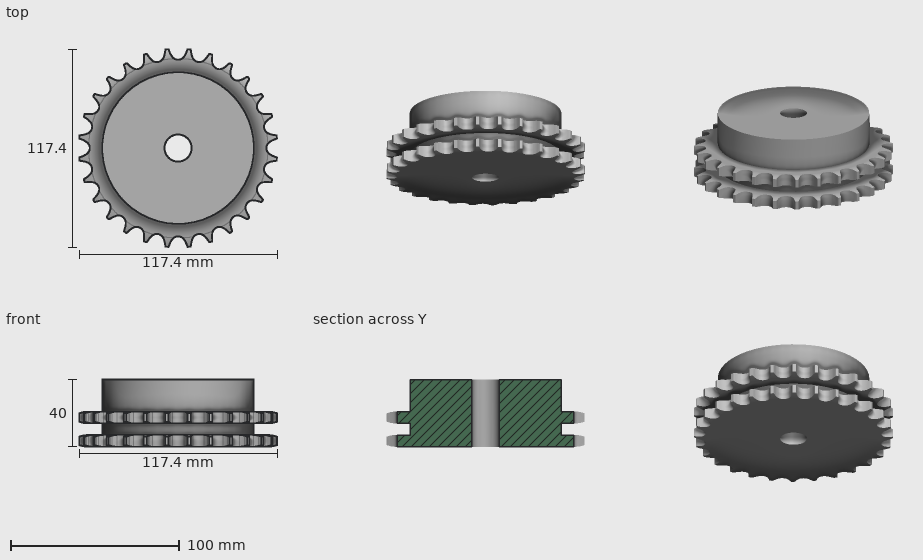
import cadquery as cq
import math

height = 40.0
hub_diameter = 90.0
bore_diameter = 16.0

tooth_count = 28
row_width = 7.0
row_spacing = 13.9
row_count = 2

pitch_radius = 56.7
roller_diameter = 8.5
seat_radius = 0.505 * roller_diameter
tip_reach = 58.7

bevel_start_radius = 53.2
bevel_depth = 1.0

gap_angle = 2 * math.pi / tooth_count

seat_end_angle = math.radians(35 + 60 / tooth_count)
working_sweep = math.radians(18 - 56 / tooth_count)
working_center_distance = 0.8 * roller_diameter
topping_center_distance = 1.4 * roller_diameter
working_radius = seat_radius + working_center_distance


def polar_point(center, radius, angle):
    """Point at a radius and angle, measured from the X direction, around a centre."""
    return center[0] + radius * math.cos(angle), center[1] + radius * math.sin(angle)


roller_center = (0, pitch_radius)
working_center = polar_point(roller_center, working_center_distance, math.pi - seat_end_angle)
topping_center = polar_point(roller_center, topping_center_distance, -gap_angle / 2)

working_end_angle = working_sweep - seat_end_angle
seat_bottom = (0, pitch_radius - seat_radius)
seat_end = polar_point(roller_center, seat_radius, -seat_end_angle)
working_middle = polar_point(working_center, working_radius, working_end_angle - working_sweep / 2)
working_end = polar_point(working_center, working_radius, working_end_angle)

topping_radius = (topping_center[0] - working_end[0]) * math.cos(working_end_angle) + (
    topping_center[1] - working_end[1]
) * math.sin(working_end_angle)
topping_start_angle = working_end_angle + math.pi
topping_end_angle = math.pi - math.asin((tip_reach - topping_center[1]) / topping_radius)
topping_middle_angle = (topping_start_angle + topping_end_angle) / 2
topping_start = polar_point(topping_center, topping_radius, topping_start_angle)
topping_middle = polar_point(topping_center, topping_radius, topping_middle_angle)
tip_corner = polar_point(topping_center, topping_radius, topping_end_angle)
outer_radius = math.hypot(*tip_corner)


def mirrored(point):
    return -point[0], point[1]


def turned(point, angle):
    """Rotate a point clockwise about the axis of the wheel."""
    x, y = point
    return (
        x * math.cos(angle) + y * math.sin(angle),
        y * math.cos(angle) - x * math.sin(angle),
    )


def toothed_plate():
    """Flat toothed plate with a gap centred on the Y axis."""
    outline = cq.Workplane("XY").moveTo(*mirrored(tip_corner))
    tip_middle = turned((0, outer_radius), gap_angle / 2)
    next_tip_corner = turned(mirrored(tip_corner), gap_angle)
    stretches = [
        (mirrored(topping_middle), mirrored(topping_start)),
        (None, mirrored(working_end)),
        (mirrored(working_middle), mirrored(seat_end)),
        (seat_bottom, seat_end),
        (working_middle, working_end),
        (None, topping_start),
        (topping_middle, tip_corner),
        (tip_middle, next_tip_corner),
    ]
    for gap in range(tooth_count):
        angle = gap * gap_angle
        for middle, end in stretches:
            if middle is None:
                outline = outline.lineTo(*turned(end, angle))
            else:
                outline = outline.threePointArc(turned(middle, angle), turned(end, angle))
    return outline.close().extrude(row_width)


def bevel_envelope():
    """Disc whose faces curve toward each other from the bevel start to the rim."""
    bevel_length = outer_radius - bevel_start_radius
    bevel_radius = (bevel_length**2 + bevel_depth**2) / (2 * bevel_depth)
    half_sweep = math.asin(bevel_length / bevel_radius) / 2
    middle_radius = bevel_start_radius + bevel_radius * math.sin(half_sweep)
    middle_drop = bevel_radius * (1 - math.cos(half_sweep))
    return (
        cq.Workplane("XZ")
        .lineTo(bevel_start_radius, 0)
        .threePointArc((middle_radius, middle_drop), (outer_radius, bevel_depth))
        .lineTo(outer_radius, row_width - bevel_depth)
        .threePointArc((middle_radius, row_width - middle_drop), (bevel_start_radius, row_width))
        .lineTo(0, row_width)
        .close()
        .revolve(360, (0, 0, 0), (0, 1, 0))
    )


result = cq.Workplane("XY").circle(hub_diameter / 2).extrude(height)
toothed_row = toothed_plate().intersect(bevel_envelope())
for row in range(row_count):
    result = result.union(toothed_row.translate((0, 0, row * row_spacing)))

bore = cq.Workplane("XY").circle(bore_diameter / 2).extrude(height)
result = result.cut(bore)